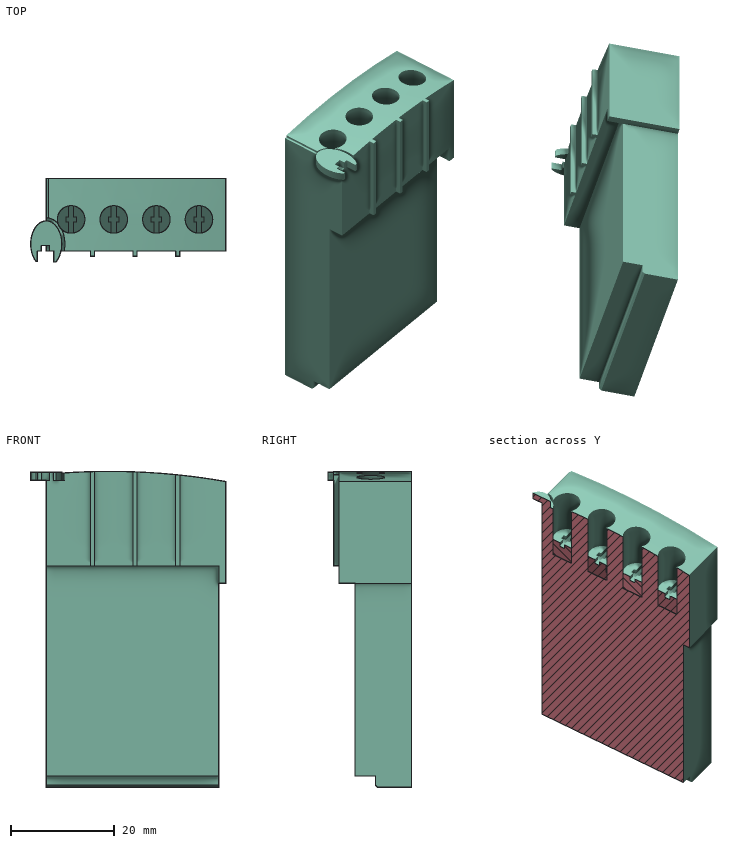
import cadquery as cq
import math


total_height = 60.8
head_width = 34.58
head_depth = 14.0
trunk_width = 33.25
trunk_depth = 10.9
head_height = 18.2
head_bottom = total_height - head_height
lip_drop = 3.35
lip_bottom = head_bottom - lip_drop
crown_x = 12.2
crown_radius = 129.0

foot_depth = 7.0
foot_height = 2.15
foot_chamfer = 0.4

rebate_width = 0.4
rebate_drop = 1.0
rebate_floor = total_height - rebate_drop

screw_count = 4
screw_pitch = 8.2
first_screw_x = 4.8
screw_y = -7.9
screw_diameter = 5.3
screw_length = 4.0
screw_recess = 10.0
screw_top = total_height - screw_recess
slot_width = 1.0
slot_depth = 1.0
cross_slot_length = 2.0
rib_width = 0.8
rib_projection = 1.0

tab_drop = 0.15
tab_top = total_height - tab_drop
tab_thickness = 1.6
tab_bottom = tab_top - tab_thickness
tab_half_width = 3.0
tab_half_length = 4.46
tab_y = -12.63
tab_clearance = 0.6
left_tip_y = -16.0
right_tip_y = -16.12
mouth_x = -0.14
mouth_width = 3.1
mouth_back = -head_depth
notch_width = 1.6
notch_back = -12.92

screw_xs = [first_screw_x + i * screw_pitch for i in range(screw_count)]
rib_xs = [x + screw_pitch / 2 for x in screw_xs[:-1]]


def block(x_min, x_max, y_min, y_max, z_min, z_max):
    """Box between the given limits."""
    size = (x_max - x_min, y_max - y_min, z_max - z_min)
    return cq.Workplane("XY").box(*size, centered=False).translate((x_min, y_min, z_min))


def crown_height(x):
    """Height of the arched top at x."""
    return total_height - crown_radius + math.sqrt(crown_radius**2 - (x - crown_x) ** 2)


def make_head():
    """Arched head with its right-hand lip, and the ribs that share its arch."""
    front = -head_depth - rib_projection
    profile = (
        cq.Workplane("XZ")
        .moveTo(0, head_bottom)
        .lineTo(trunk_width, head_bottom)
        .lineTo(trunk_width, lip_bottom)
        .lineTo(head_width, lip_bottom)
        .lineTo(head_width, crown_height(head_width))
        .threePointArc((crown_x, total_height), (0, crown_height(0)))
        .close()
        .extrude(-front)
    )
    envelope = block(0, head_width, -head_depth, 0, 0, total_height)
    for x in rib_xs:
        rib = block(x - rib_width / 2, x + rib_width / 2, front, -head_depth, head_bottom, total_height)
        envelope = envelope.union(rib)
    return profile.intersect(envelope)


def make_trunk():
    """Plain lower body with the stepped, chamfered foot."""
    return (
        cq.Workplane("YZ")
        .moveTo(0, 0)
        .lineTo(-foot_depth + foot_chamfer, 0)
        .lineTo(-foot_depth, foot_chamfer)
        .lineTo(-foot_depth, foot_height)
        .lineTo(-trunk_depth, foot_height)
        .lineTo(-trunk_depth, head_bottom)
        .lineTo(0, head_bottom)
        .close()
        .extrude(trunk_width)
    )


def oval(half_width, half_length, z_min, z_max):
    """Upright elliptical cylinder on the tab's axis."""
    return (
        cq.Workplane("XY", origin=(0, tab_y, z_min))
        .ellipse(half_width, half_length)
        .extrude(z_max - z_min)
    )


def make_tab():
    """Oval tab with two blunt tips, a wide mouth between them and a narrow notch behind it."""
    front = tab_y - tab_half_length

    def slot(width, back):
        return block(mouth_x - width / 2, mouth_x + width / 2, front, back, tab_bottom, tab_top)

    left_tip_end = block(-tab_half_width, mouth_x, front, left_tip_y, tab_bottom, tab_top)
    right_tip_end = block(mouth_x, tab_half_width, front, right_tip_y, tab_bottom, tab_top)
    tab = oval(tab_half_width, tab_half_length, tab_bottom, tab_top)
    tab = tab.cut(left_tip_end).cut(right_tip_end)
    return tab.cut(slot(mouth_width, mouth_back)).cut(slot(notch_width, notch_back))


def make_housing():
    """Housing with the tab, its recess, the edge rebate and the screw holes."""
    rebate = block(0, rebate_width, -head_depth, 0, rebate_floor, total_height)
    recess = oval(
        tab_half_width + tab_clearance, tab_half_length + tab_clearance, tab_bottom, total_height
    )
    housing = make_trunk().union(make_head()).cut(rebate).cut(recess).union(make_tab())
    holes = (
        cq.Workplane("XY", origin=(0, 0, screw_top - screw_length))
        .pushPoints([(x, screw_y) for x in screw_xs])
        .circle(screw_diameter / 2)
        .extrude(screw_recess + screw_length)
    )
    return housing.cut(holes)


def make_screw(x):
    """Screw with a full-width driving slot and a short cross slot."""
    return (
        cq.Workplane("XY", origin=(x, screw_y, screw_top - screw_length))
        .circle(screw_diameter / 2)
        .extrude(screw_length)
        .faces(">Z")
        .workplane(origin=(x, screw_y, screw_top))
        .rect(slot_width, screw_diameter)
        .cutBlind(-slot_depth)
        .faces(">Z")
        .workplane(origin=(x, screw_y, screw_top))
        .rect(cross_slot_length, slot_width)
        .cutBlind(-slot_depth)
    )


housing = make_housing()
screws = [make_screw(x) for x in screw_xs]
result = cq.Compound.makeCompound([housing.solids().val(), *[screw.val() for screw in screws]])